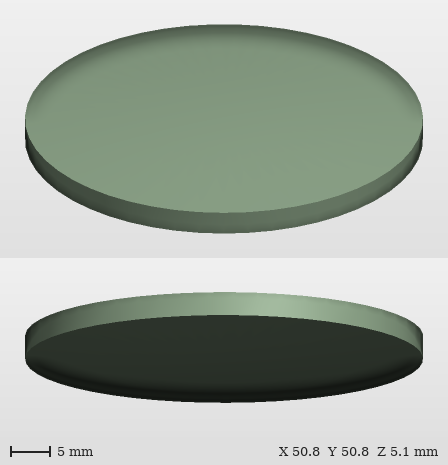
import cadquery as cq

diameter = 50.8
centre_thickness = 5.1
edge_thickness = 3.0

radius = diameter / 2
half_centre = centre_thickness / 2
half_edge = edge_thickness / 2

cap_height = half_centre - half_edge
sphere_radius = (radius**2 + cap_height**2) / (2 * cap_height)

mid_radius = radius / 2
mid_height = half_centre - sphere_radius + (sphere_radius**2 - mid_radius**2) ** 0.5


def half_section():
    """Lens section from the optical axis (sketch Y) out to the rim."""
    return (
        cq.Workplane("XZ")
        .moveTo(0, -half_centre)
        .threePointArc((mid_radius, -mid_height), (radius, -half_edge))
        .lineTo(radius, half_edge)
        .threePointArc((mid_radius, mid_height), (0, half_centre))
        .close()
    )


result = half_section().revolve(360, (0, 0), (0, 1))